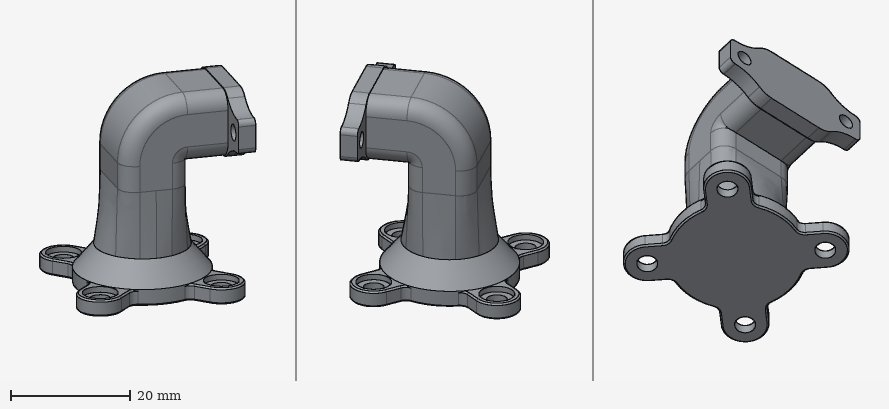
import cadquery as cq
import math

base_thickness = 2.9
disc_radius = 11.75
lug_circle_radius = 15.0
lug_radius = 4.0
lug_count = 4
lug_blend_radius = 1.5
base_chamfer = 0.3
screw_hole_diameter = 3.5
counterbore_diameter = 6.0
counterbore_depth = 1.0

cone_top_z = 7.1
cone_top_diameter = 16.4
loft_top_z = 19.0

duct_width = 15.8
duct_depth = 11.75
duct_corner_radius = 3.0
bend_start_z = 23.6
bend_radius = 5.5
duct_axis_z = bend_start_z + bend_radius

plate_back_y = 15.6
plate_thickness = 3.0
plate_front_y = plate_back_y - plate_thickness
plate_half_height = 6.0
ear_tip_x = 14.05
ear_half_height = 3.0
ear_corner_radius = 1.0
ear_hole_x = 11.0
ear_hole_diameter = 2.8
neck_radius = 8.0
shoulder_radius = 4.0


def duct_outline():
    """Rounded rectangle of the duct, centred on its axis."""
    return cq.Sketch().rect(duct_width, duct_depth).vertices().fillet(duct_corner_radius).reset()


def make_base():
    disc = cq.Workplane("XY").circle(disc_radius).extrude(base_thickness)
    flange = disc
    for i in range(lug_count):
        lug = (
            cq.Workplane("XY")
            .center(lug_circle_radius / 2, 0)
            .rect(lug_circle_radius, 2 * lug_radius)
            .extrude(base_thickness)
            .union(
                cq.Workplane("XY")
                .center(lug_circle_radius, 0)
                .circle(lug_radius)
                .extrude(base_thickness)
            )
        )
        lug_angle = 360 / lug_count * (i + 0.5)
        flange = flange.union(lug.rotate((0, 0, 0), (0, 0, 1), lug_angle))

    disc_box = cq.selectors.BoxSelector(
        (-disc_radius, -disc_radius, 0),
        (disc_radius, disc_radius, base_thickness),
    )
    flange = flange.edges("|Z").edges(disc_box).fillet(lug_blend_radius)
    flange = flange.faces("<Z or >Z").edges().chamfer(base_chamfer)

    disc = disc.faces("<Z").edges().chamfer(base_chamfer)
    return flange.union(disc)


def cut_screw_holes(body):
    pattern_angle = 180 / lug_count
    return (
        body.copyWorkplane(cq.Workplane("XY", origin=(0, 0, base_thickness)))
        .polarArray(lug_circle_radius, pattern_angle, 360, lug_count)
        .cboreHole(screw_hole_diameter, counterbore_diameter, counterbore_depth, base_thickness)
    )


def make_riser():
    return (
        cq.Workplane("XY", origin=(0, 0, loft_top_z))
        .placeSketch(duct_outline())
        .extrude(bend_start_z - loft_top_z)
    )


def make_column():
    cone = (
        cq.Workplane("XY", origin=(0, 0, base_thickness))
        .circle(disc_radius)
        .workplane(offset=cone_top_z - base_thickness)
        .circle(cone_top_diameter / 2)
        .loft(ruled=True)
    )
    round_end = (
        cq.Workplane("XY", origin=(0, 0, cone_top_z))
        .circle(cone_top_diameter / 2)
        .wires()
        .val()
    )
    square_end = make_riser().faces("<Z").wires().val()
    transition = cq.Workplane(cq.Solid.makeLoft([round_end, square_end]))
    return cone.union(transition)


def make_duct():
    outlet = (
        cq.Workplane("XZ", origin=(0, plate_front_y, duct_axis_z))
        .placeSketch(duct_outline())
        .extrude(plate_front_y - bend_radius)
    )

    beyond_axis_y = bend_radius + duct_depth / 2
    turned_outline = duct_outline().push([(0, beyond_axis_y)]).rect(duct_width, duct_depth, mode="s").reset()
    bend = (
        cq.Workplane("XY", origin=(0, 0, bend_start_z))
        .placeSketch(turned_outline)
        .revolve(90, (0, bend_radius, 0), (-1, bend_radius, 0))
    )
    return make_riser().union(bend).union(outlet)


def make_outlet_plate():
    neck_start_x = ear_tip_x - ear_corner_radius
    neck_centre_z = ear_half_height + neck_radius
    shoulder_centre_z = plate_half_height - shoulder_radius
    centre_distance = neck_radius + shoulder_radius
    centre_drop = neck_centre_z - shoulder_centre_z
    shoulder_x = neck_start_x - math.sqrt(centre_distance**2 - centre_drop**2)
    turn = math.acos(centre_drop / centre_distance)

    def on_neck(angle):
        return (neck_start_x - neck_radius * math.sin(angle), neck_centre_z - neck_radius * math.cos(angle))

    def on_shoulder(angle):
        return (
            shoulder_x + shoulder_radius * math.sin(angle),
            shoulder_centre_z + shoulder_radius * math.cos(angle),
        )

    corner_mid = ear_corner_radius * math.sqrt(0.5)
    quarter = (
        cq.Workplane("XZ", origin=(0, plate_back_y, duct_axis_z))
        .lineTo(ear_tip_x, 0)
        .lineTo(ear_tip_x, ear_half_height - ear_corner_radius)
        .threePointArc(
            (neck_start_x + corner_mid, ear_half_height - ear_corner_radius + corner_mid),
            (neck_start_x, ear_half_height),
        )
        .threePointArc(on_neck(turn / 2), on_neck(turn))
        .threePointArc(on_shoulder(turn / 2), on_shoulder(0))
        .lineTo(0, plate_half_height)
        .close()
        .extrude(plate_thickness)
    )
    half = quarter.union(quarter.mirror("YZ"))
    plate = half.union(half.mirror("XY", (0, 0, duct_axis_z))).clean()
    ear_holes = (
        cq.Workplane("XZ", origin=(0, plate_back_y, duct_axis_z))
        .pushPoints([(-ear_hole_x, 0), (ear_hole_x, 0)])
        .circle(ear_hole_diameter / 2)
        .extrude(plate_thickness)
    )
    return plate.cut(ear_holes)


base = cut_screw_holes(make_base())
result = base.union(make_column()).union(make_duct()).union(make_outlet_plate())